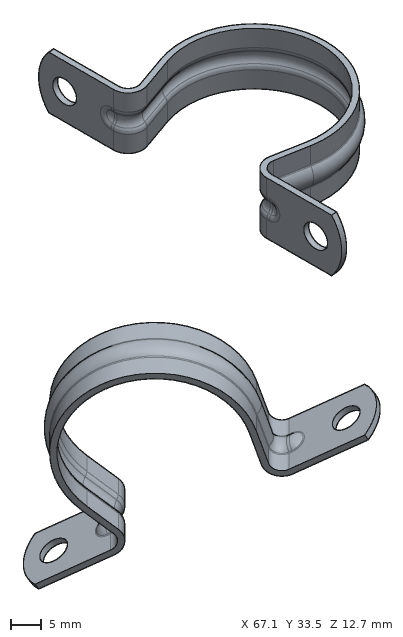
import cadquery as cq
import math

length = 67.1
width = 12.7
thickness = 1.2

loop_outer_radius = 17.2
loop_center_y = 15.4
lean_angle = math.radians(15)
bend_inner_radius = 2.3

hole_diameter = 5.25
hole_spacing = 55.55
foot_end_radius = 10.05

rib_height = 0.9
groove_radius = 2.0
groove_edge_radius = 1.55
rib_end_x = 17.5

loop_inner_radius = loop_outer_radius - thickness
bend_outer_radius = bend_inner_radius + thickness
bend_center_y = bend_outer_radius
bend_center_x = (
    loop_outer_radius
    + bend_inner_radius
    - (loop_center_y - bend_center_y) * math.sin(lean_angle)
) / math.cos(lean_angle)

rib_arc_sum = groove_radius + groove_edge_radius
rib_turn_angle = math.acos(1 - rib_height / rib_arc_sum)
rib_half_width = rib_arc_sum * math.sin(rib_turn_angle)


def inner_path():
    """Inner surface line of the strap, from one rib end to the other, in the XY plane."""

    def loop_point(angle):
        return (
            loop_inner_radius * math.cos(angle),
            loop_center_y + loop_inner_radius * math.sin(angle),
        )

    def bend_point(side, angle):
        return (
            side * (bend_center_x - bend_outer_radius * math.cos(angle)),
            bend_center_y + bend_outer_radius * math.sin(angle),
        )

    bend_middle = (lean_angle - math.pi / 2) / 2
    return (
        cq.Workplane("XY")
        .moveTo(-rib_end_x, 0)
        .lineTo(-bend_center_x, 0)
        .threePointArc(bend_point(-1, bend_middle), bend_point(-1, lean_angle))
        .lineTo(*loop_point(math.pi + lean_angle))
        .threePointArc(loop_point(math.pi / 2), loop_point(-lean_angle))
        .lineTo(*bend_point(1, lean_angle))
        .threePointArc(bend_point(1, bend_middle), (bend_center_x, 0))
        .lineTo(rib_end_x, 0)
    )


def rib_arc_points(offset):
    """Half-rib points (distance from rib middle, height), offset from the inner surface."""
    crest_radius = groove_radius + offset
    edge_radius = groove_edge_radius - offset
    crest_center = rib_height - groove_radius

    def crest_point(angle):
        return (crest_radius * math.sin(angle), crest_center + crest_radius * math.cos(angle))

    def edge_point(angle):
        return (
            rib_half_width - edge_radius * math.sin(angle),
            groove_edge_radius - edge_radius * math.cos(angle),
        )

    return {
        "crest": crest_point(0),
        "crest_middle": crest_point(rib_turn_angle / 2),
        "join": crest_point(rib_turn_angle),
        "edge_middle": edge_point(rib_turn_angle / 2),
        "edge": edge_point(0),
    }


inner_rib = rib_arc_points(0)
outer_rib = rib_arc_points(thickness)


def ribbed_strap():
    """Constant ribbed cross-section swept around the bends and the loop."""

    def at(point, side=1):
        return (point[1], side * point[0])

    def rib_across(section, rib, side):
        """Cross the rib, starting from its edge on the given side."""
        return (
            section.lineTo(*at(rib["edge"], side))
            .threePointArc(at(rib["edge_middle"], side), at(rib["join"], side))
            .threePointArc(at(rib["crest"]), at(rib["join"], -side))
            .threePointArc(at(rib["edge_middle"], -side), at(rib["edge"], -side))
        )

    start_plane = cq.Plane(origin=(-rib_end_x, 0, 0), xDir=(0, 1, 0), normal=(1, 0, 0))
    section = cq.Workplane(start_plane).moveTo(0, -width / 2)
    section = rib_across(section, inner_rib, -1)
    section = section.lineTo(0, width / 2).lineTo(thickness, width / 2)
    section = rib_across(section, outer_rib, 1)
    section = section.lineTo(thickness, -width / 2).close()
    return section.sweep(inner_path())


def rib_end_dome():
    """Half-round dome that closes the rib at its left end."""
    end_plane = cq.Plane(origin=(-rib_end_x, 0, 0), xDir=(0, 0, -1), normal=(1, 0, 0))
    return (
        cq.Workplane(end_plane)
        .moveTo(*inner_rib["crest"])
        .threePointArc(inner_rib["crest_middle"], inner_rib["join"])
        .threePointArc(inner_rib["edge_middle"], inner_rib["edge"])
        .lineTo(*outer_rib["edge"])
        .threePointArc(outer_rib["edge_middle"], outer_rib["join"])
        .threePointArc(outer_rib["crest_middle"], outer_rib["crest"])
        .close()
        .revolve(180, (0, 0, 0), (0, 1, 0))
    )


def left_foot():
    """Flat foot with a rounded tip, a screw hole and the closed end of the rib."""
    front = cq.Workplane("XZ")
    tip_depth = foot_end_radius - math.sqrt(foot_end_radius**2 - (width / 2) ** 2)
    corner_x = -length / 2 + tip_depth
    plate = (
        front.moveTo(-rib_end_x, -width / 2)
        .lineTo(corner_x, -width / 2)
        .threePointArc((-length / 2, 0), (corner_x, width / 2))
        .lineTo(-rib_end_x, width / 2)
        .close()
        .extrude(-thickness)
    )
    hole = front.center(-hole_spacing / 2, 0).circle(hole_diameter / 2).extrude(-thickness)
    dome_seat = front.center(-rib_end_x, 0).circle(rib_half_width).extrude(-thickness)
    return plate.cut(hole).cut(dome_seat).union(rib_end_dome())


foot = left_foot()
result = ribbed_strap().union(foot).union(foot.mirror("YZ"))